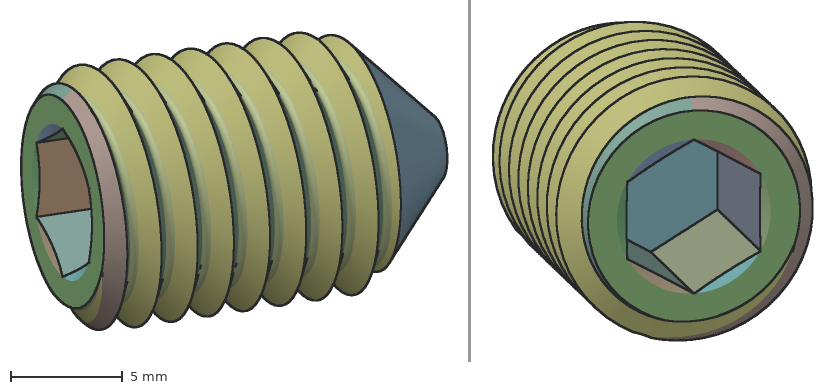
import cadquery as cq
import math

length = 18.0
thread_diameter = 12.0
pitch = 1.75
head_face_diameter = 9.78
tip_diameter = 3.0

root_diameter = 9.55
root_radius = pitch * math.sqrt(3) / 12
flank_half_angle = math.radians(30)
groove_offset = 1.01
lead_in_turns = 2
groove_clearance = 0.03

hex_across_flats = 6.15
socket_depth = 8.0
countersink_half_angle = math.radians(72)

thread_radius = thread_diameter / 2
groove_floor_radius = root_diameter / 2
hex_corner_radius = hex_across_flats / 2 / math.cos(math.radians(30))


def screw_blank():
    """Cylinder with a 45 degree head chamfer and a 45 degree cone point."""
    head_radius = head_face_diameter / 2
    tip_radius = tip_diameter / 2
    chamfer = thread_radius - head_radius
    point_length = thread_radius - tip_radius
    return (
        cq.Workplane("XZ")
        .moveTo(0, 0)
        .lineTo(head_radius, 0)
        .lineTo(thread_radius, chamfer)
        .lineTo(thread_radius, length - point_length)
        .lineTo(tip_radius, length)
        .lineTo(0, length)
        .close()
        .revolve(360, (0, 0, 0), (0, 1, 0))
    )


def thread_groove():
    """Helical cutter of the right-hand thread, built about Z."""
    start = groove_offset - lead_in_turns * pitch
    arc_center = groove_floor_radius + root_radius
    tangent_radius = arc_center - root_radius * math.sin(flank_half_angle)
    tangent_half_width = root_radius * math.cos(flank_half_angle)
    outer_radius = thread_radius + groove_clearance
    outer_half_width = tangent_half_width + (outer_radius - tangent_radius) * math.tan(flank_half_angle)
    profile = (
        cq.Workplane("XZ")
        .moveTo(outer_radius, start - outer_half_width)
        .lineTo(tangent_radius, start - tangent_half_width)
        .threePointArc((groove_floor_radius, start), (tangent_radius, start + tangent_half_width))
        .lineTo(outer_radius, start + outer_half_width)
        .close()
    )
    helix = cq.Wire.makeHelix(pitch, length - start, groove_floor_radius).translate(cq.Vector(0, 0, start))
    return profile.sweep(cq.Workplane(obj=helix), isFrenet=True)


def hex_socket():
    """Blind hexagon with corners on +/-Z of the finished screw and a shallow conical lead-in."""
    hexagon = cq.Workplane("XY").polygon(6, 2 * hex_corner_radius).extrude(socket_depth)
    cone_depth = hex_corner_radius / math.tan(countersink_half_angle)
    countersink = cq.Workplane(obj=cq.Solid.makeCone(hex_corner_radius, 0, cone_depth))
    return hexagon.union(countersink)


screw = screw_blank().cut(thread_groove()).cut(hex_socket())
result = screw.rotate((0, 0, 0), (1, 1, 1), -120)